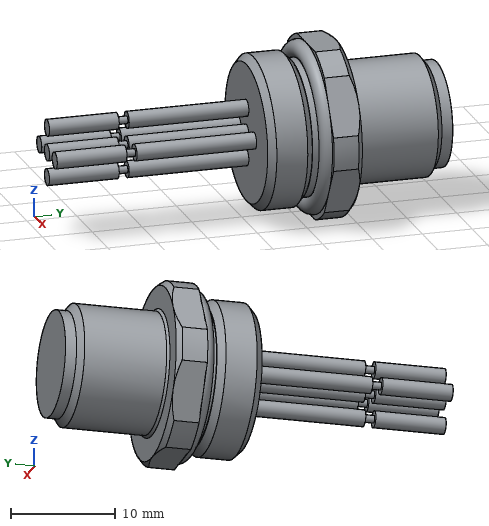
import cadquery as cq
import math


rear_flange_length = 4.5
seal_rear_y = 5.0
hex_rear_y = 6.0
hex_length = 3.0
body_length = 19.1

sleeve_diameter = 12.0
nose_diameter = 10.45
nose_length = 1.1
nose_chamfer_length = 0.6
sleeve_root_chamfer = 0.25

hex_across_flats = 17.0
hex_corner_diameter = 18.0
hex_chamfer = 0.5

seal_outer_diameter = 17.0
seal_section_diameter = 1.95

neck_diameter = 13.5
flange_diameter = 15.2
flange_chamfer = 0.7

lead_diameter = 1.65
conductor_diameter = 0.76
lead_circle_radius = 2.5
outer_lead_count = 4
lead_length = 20.0
lead_tip_length = 7.0
bare_length = 1.0

hex_front_y = hex_rear_y + hex_length


def revolve_profile(profile):
    """Turn a closed (radius, Y) outline about the Y axis."""
    return profile.close().revolve(360, (0, 0, 0), (0, 1, 0))


def rod(diameter, start_y, end_y):
    """Round bar on the Y axis between two positions."""
    bar = cq.Solid.makeCylinder(
        diameter / 2, end_y - start_y, cq.Vector(0, start_y, 0), cq.Vector(0, 1, 0)
    )
    return cq.Workplane("XY").newObject([bar])


def make_rear_flange():
    flange = rod(flange_diameter, 0, rear_flange_length).edges().chamfer(flange_chamfer)
    neck = rod(neck_diameter, 0, hex_rear_y)
    return flange.union(neck)


def make_seal():
    tube_radius = seal_section_diameter / 2
    ring_radius = seal_outer_diameter / 2 - tube_radius
    ring_y = seal_rear_y + tube_radius
    ring = cq.Solid.makeTorus(
        ring_radius, tube_radius, cq.Vector(0, ring_y, 0), cq.Vector(0, 1, 0)
    )
    return cq.Workplane("XY").newObject([ring])


def make_hex_collar():
    across_corners = hex_across_flats / math.cos(math.pi / 6)
    prism = (
        cq.Workplane("XZ", origin=(0, hex_front_y, 0))
        .polygon(6, across_corners)
        .extrude(hex_length)
    )
    corner_radius = hex_corner_diameter / 2
    turned_envelope = revolve_profile(
        cq.Workplane("XY")
        .moveTo(0, hex_rear_y)
        .lineTo(corner_radius, hex_rear_y)
        .lineTo(corner_radius, hex_front_y - hex_chamfer)
        .lineTo(corner_radius - hex_chamfer, hex_front_y)
        .lineTo(0, hex_front_y)
    )
    return prism.intersect(turned_envelope)


def make_sleeve():
    sleeve_radius = sleeve_diameter / 2
    nose_radius = nose_diameter / 2
    shoulder_y = body_length - nose_length
    return revolve_profile(
        cq.Workplane("XY")
        .moveTo(0, hex_rear_y)
        .lineTo(sleeve_radius + sleeve_root_chamfer, hex_rear_y)
        .lineTo(sleeve_radius + sleeve_root_chamfer, hex_front_y)
        .lineTo(sleeve_radius, hex_front_y + sleeve_root_chamfer)
        .lineTo(sleeve_radius, shoulder_y - nose_chamfer_length)
        .lineTo(nose_radius, shoulder_y)
        .lineTo(nose_radius, body_length)
        .lineTo(0, body_length)
    )


def make_lead():
    """One insulated lead on the Y axis, bared to the conductor over a short gap."""
    tip_inner_y = lead_tip_length - lead_length
    conductor = rod(conductor_diameter, -lead_length, 0)
    tip = rod(lead_diameter, -lead_length, tip_inner_y)
    sheath = rod(lead_diameter, tip_inner_y + bare_length, 0)
    return conductor.union(tip).union(sheath)


def lead_positions():
    """(X, Z) of the centre lead and of the ring of leads around it."""
    positions = [(0, 0)]
    for index in range(outer_lead_count):
        angle = 2 * math.pi * index / outer_lead_count
        positions.append((lead_circle_radius * math.cos(angle), lead_circle_radius * math.sin(angle)))
    return positions


result = make_rear_flange().union(make_hex_collar()).union(make_sleeve()).union(make_seal())
for lead_x, lead_z in lead_positions():
    result = result.union(make_lead().translate((lead_x, 0, lead_z)))